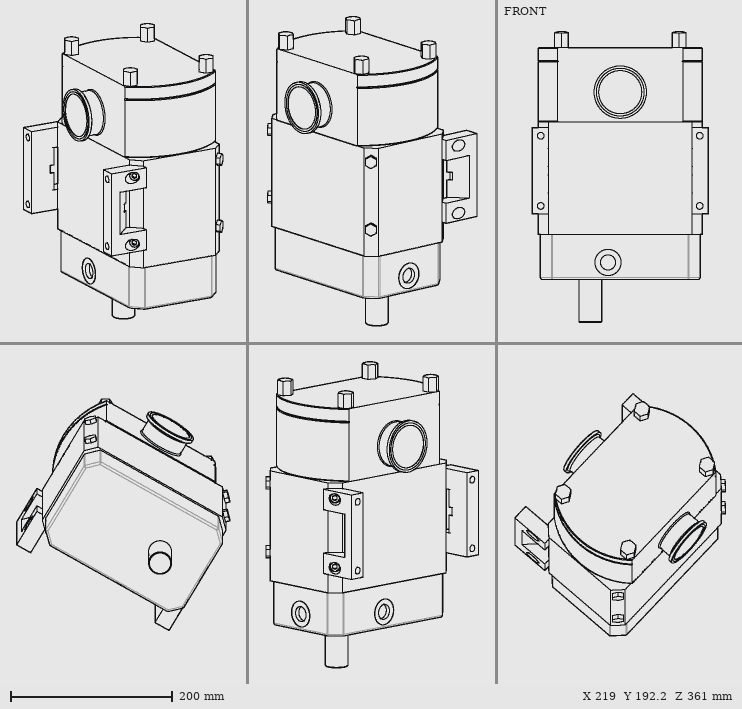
import cadquery as cq
import math


GEARBOX_BOTTOM = 53.0
BODY_BOTTOM = 109.0
BODY_TOP = 248.5
COVER_BOTTOM = 324.0
COVER_TOP = 341.0
NUT_TOP = 361.0

BODY_CENTER_Y = -0.55
BODY_LENGTH = 203.7
BODY_WIDTH = 128.5
BODY_CORNER = 12.5
GEARBOX_LENGTH = 198.5
GEARBOX_WIDTH = 125.0
GEARBOX_CORNER = 14.5
GEARBOX_SIDE_ROUND = 1.8
GEARBOX_BOTTOM_ROUND = 3.0

HEAD_WIDTH = 130.0
HEAD_LENGTH = BODY_LENGTH
HEAD_FLAT_LENGTH = 156.0
HEAD_BEVEL = 1.0

NUT_SPAN_X = 146.0
NUT_SPAN_Y = 108.7
NUT_FLATS = 17.5
NUT_TURN = 30
NUT_DOME_RADIUS = 21.5

PORT_HEIGHT = 285.5
PORT_REACH = 90.0
PORT_RADIUS = 27.8
PORT_FOOT_FLARE = 1.0
PORT_FOOT_LENGTH = 1.8
FLANGE_RADIUS = 32.5
FLANGE_RIM = 4.0
FLANGE_SLOPE = 2.5
FLANGE_SLOPE_RADIUS = 29.5
SEAL_GROOVE_CENTER_RADIUS = 28.0
SEAL_GROOVE_RADIUS = 1.5

SHAFT_X = -37.2
SHAFT_DIAMETER = 28.5
SHAFT_BEVEL = 1.0

PLUG_HEIGHT = 74.5
FRONT_PLUG_X = -15.0
PLUG_RIM_RADIUS = 16.3
PLUG_RIM_DEPTH = 0.55
PLUG_BORE_RADIUS = 9.5
PLUG_BORE_DEPTH = 6.0

BRACKET_SPAN = 219.0
BRACKET_BOTTOM = 134.7
BRACKET_TOP = 241.5
FOOT_Y = -102.2
WINDOW_Y = -90.3
WINDOW_BOTTOM = 160.7
WINDOW_TOP = 215.5
NOTCH_DEPTH = 5.0
NOTCH_BOTTOM = 183.0
NOTCH_TOP = 193.2
FOOT_HOLE_INSET = 11.0
FOOT_HOLE_DIAMETER = 8.3
FOOT_HOLE_DEPTH = 21.5
FOOT_HOLE_TIP = 2.5

SCREW_HEIGHTS = (144.5, 231.5)
SCREW_POCKET_DIAMETER = 14.0
SCREW_POCKET_FLOOR = 6.5
SCREW_POCKET_LENGTH = 29.0
SCREW_HEAD_DIAMETER = 11.5
SCREW_HEAD_HEIGHT = 4.5
SCREW_SOCKET_DIAMETER = 6.5
SCREW_SOCKET_DEPTH = 3.5
BOLT_HEAD_FLATS = 13.7
BOLT_HEAD_HEIGHT = 5.5

BODY_FRONT_Y = BODY_CENTER_Y - BODY_WIDTH / 2
GEARBOX_FRONT_Y = BODY_CENTER_Y - GEARBOX_WIDTH / 2


def hex_diameter(flats):
    """Corner-to-corner size of a hexagon with the given size across flats."""
    return flats / math.cos(math.pi / 6)


def cut_corner_block(length, width, corner, bottom, top):
    block = cq.Workplane("XY", origin=(0, BODY_CENTER_Y, bottom)).rect(length, width).extrude(top - bottom)
    return block.edges("|Z").chamfer(corner)


def make_gearbox():
    block = cut_corner_block(GEARBOX_LENGTH, GEARBOX_WIDTH, GEARBOX_CORNER, GEARBOX_BOTTOM, BODY_BOTTOM)
    return block.edges("|Z").fillet(GEARBOX_SIDE_ROUND).edges("<Z").fillet(GEARBOX_BOTTOM_ROUND)


def make_shaft():
    shaft = cq.Workplane("XY").center(SHAFT_X, BODY_CENTER_Y).circle(SHAFT_DIAMETER / 2).extrude(GEARBOX_BOTTOM)
    return shaft.faces("<Z").chamfer(SHAFT_BEVEL)


def make_head_layer(bottom, top):
    """One layer of the pump head, with its arched edges bevelled."""
    flat_x = HEAD_FLAT_LENGTH / 2
    flat_y = HEAD_WIDTH / 2
    layer = (
        cq.Workplane("XY", origin=(0, 0, bottom))
        .moveTo(-flat_x, -flat_y)
        .lineTo(flat_x, -flat_y)
        .threePointArc((HEAD_LENGTH / 2, 0), (flat_x, flat_y))
        .lineTo(-flat_x, flat_y)
        .threePointArc((-HEAD_LENGTH / 2, 0), (-flat_x, -flat_y))
        .close()
        .extrude(top - bottom)
    )
    return layer.edges("%CIRCLE").chamfer(HEAD_BEVEL)


def make_cap_nuts():
    hexagon = (
        cq.Workplane("XY", origin=(0, 0, COVER_TOP))
        .polygon(6, hex_diameter(NUT_FLATS))
        .extrude(NUT_TOP - COVER_TOP)
        .rotate((0, 0, 0), (0, 0, 1), NUT_TURN)
    )
    dome = cq.Workplane("XY", origin=(0, 0, NUT_TOP - NUT_DOME_RADIUS)).sphere(NUT_DOME_RADIUS)
    nut = hexagon.intersect(dome)
    centers = cq.Workplane("XY").rarray(NUT_SPAN_X, NUT_SPAN_Y, 2, 2)
    return centers.eachpoint(lambda place: nut.val().moved(place))


def make_ports():
    """Both clamp ports, turned about Y, with a seal groove in each end face."""
    head_y = HEAD_WIDTH / 2
    rim_y = PORT_REACH - FLANGE_RIM
    half = (
        cq.Workplane("XY")
        .polyline([
            (0, 0),
            (PORT_RADIUS + PORT_FOOT_FLARE, 0),
            (PORT_RADIUS + PORT_FOOT_FLARE, head_y),
            (PORT_RADIUS, head_y + PORT_FOOT_LENGTH),
            (PORT_RADIUS, rim_y - FLANGE_SLOPE),
            (FLANGE_SLOPE_RADIUS, rim_y),
            (FLANGE_RADIUS, rim_y),
            (FLANGE_RADIUS, PORT_REACH),
            (0, PORT_REACH),
        ])
        .close()
        .revolve(360, (0, 0, 0), (0, 1, 0))
    )
    groove = (
        cq.Workplane("XY")
        .center(SEAL_GROOVE_CENTER_RADIUS, PORT_REACH)
        .circle(SEAL_GROOVE_RADIUS)
        .revolve(360, (-SEAL_GROOVE_CENTER_RADIUS, 0, 0), (-SEAL_GROOVE_CENTER_RADIUS, 1, 0))
    )
    port = half.cut(groove)
    return port.union(port.mirror("XZ")).translate((0, 0, PORT_HEIGHT))


def make_plug_cut(plane):
    """Shallow rim recess and blind bore, cut inwards from a gearbox face."""
    rim = plane.circle(PLUG_RIM_RADIUS).extrude(-PLUG_RIM_DEPTH)
    return rim.union(plane.circle(PLUG_BORE_RADIUS).extrude(-PLUG_BORE_DEPTH))


def make_corner_plane(side, y_direction, height):
    """Plane on a cut corner of the body, its normal pointing out of the body."""
    x = side * (BODY_LENGTH - BODY_CORNER) / 2
    y = BODY_CENTER_Y + y_direction * (BODY_WIDTH - BODY_CORNER) / 2
    return cq.Workplane(cq.Plane(origin=(x, y, height), xDir=(0, 0, 1), normal=(side, y_direction, 0)))


def make_foot_hole(x, height):
    """Blind drilled hole with a conical tip, turned about its own axis."""
    radius = FOOT_HOLE_DIAMETER / 2
    return (
        cq.Workplane("XY", origin=(x, FOOT_Y, height))
        .polyline([(0, 0), (radius, 0), (radius, FOOT_HOLE_DEPTH), (0, FOOT_HOLE_DEPTH + FOOT_HOLE_TIP)])
        .close()
        .revolve(360, (0, 0, 0), (0, 1, 0))
    )


def cut_screw_pocket(bracket, seat):
    """Sink a pocket towards the seat plane and leave a socket screw head standing on its floor."""
    floor = seat.workplane(offset=SCREW_POCKET_FLOOR)
    pocket = floor.circle(SCREW_POCKET_DIAMETER / 2).extrude(SCREW_POCKET_LENGTH)
    head = floor.circle(SCREW_HEAD_DIAMETER / 2).extrude(SCREW_HEAD_HEIGHT)
    head_top = floor.workplane(offset=SCREW_HEAD_HEIGHT)
    socket = head_top.polygon(6, SCREW_SOCKET_DIAMETER).extrude(-SCREW_SOCKET_DEPTH)
    return bracket.cut(pocket).union(head.cut(socket))


def make_bracket(side):
    """C-shaped foot bracket with a slanted window wall, seated on a front corner of the body."""
    outer_x = BRACKET_SPAN / 2
    inner_x = BODY_LENGTH / 2 - BODY_CORNER
    back_y = BODY_FRONT_Y + BODY_CORNER
    slant_y = WINDOW_Y + outer_x - inner_x
    hole_x = outer_x - FOOT_HOLE_INSET

    def prism(points, bottom, top):
        outline = [(side * x, y) for x, y in points]
        return cq.Workplane("XY", origin=(0, 0, bottom)).polyline(outline).close().extrude(top - bottom)

    bracket = prism(
        [
            (outer_x, FOOT_Y),
            (outer_x, back_y),
            (BODY_LENGTH / 2, back_y),
            (inner_x, BODY_FRONT_Y),
            (inner_x, FOOT_Y),
        ],
        BRACKET_BOTTOM,
        BRACKET_TOP,
    )
    window = prism(
        [(outer_x, WINDOW_Y), (outer_x, back_y), (inner_x, back_y), (inner_x, slant_y)],
        WINDOW_BOTTOM,
        WINDOW_TOP,
    )
    notch = prism(
        [
            (inner_x, slant_y),
            (inner_x + NOTCH_DEPTH, slant_y - NOTCH_DEPTH),
            (inner_x, slant_y - NOTCH_DEPTH),
        ],
        NOTCH_BOTTOM,
        NOTCH_TOP,
    )
    bracket = bracket.cut(window).cut(notch)

    for height in SCREW_HEIGHTS:
        bracket = bracket.cut(make_foot_hole(side * hole_x, height))
        bracket = cut_screw_pocket(bracket, make_corner_plane(side, -1, height))
    return bracket


def make_bolt_head(side, height):
    plane = make_corner_plane(side, 1, height)
    return plane.polygon(6, hex_diameter(BOLT_HEAD_FLATS)).extrude(BOLT_HEAD_HEIGHT)


body = cut_corner_block(BODY_LENGTH, BODY_WIDTH, BODY_CORNER, BODY_BOTTOM, BODY_TOP)
gearbox = make_gearbox()
front_plug = cq.Workplane("XZ", origin=(FRONT_PLUG_X, GEARBOX_FRONT_Y, PLUG_HEIGHT))
side_plug = cq.Workplane("ZY", origin=(-GEARBOX_LENGTH / 2, BODY_CENTER_Y, PLUG_HEIGHT))
gearbox = gearbox.cut(make_plug_cut(front_plug)).cut(make_plug_cut(side_plug))

result = (
    body.union(gearbox)
    .union(make_shaft())
    .union(make_head_layer(BODY_TOP, COVER_BOTTOM))
    .union(make_head_layer(COVER_BOTTOM, COVER_TOP))
    .union(make_ports())
    .union(make_cap_nuts())
)
for side in (-1, 1):
    result = result.union(make_bracket(side))
    for height in SCREW_HEIGHTS:
        result = result.union(make_bolt_head(side, height))